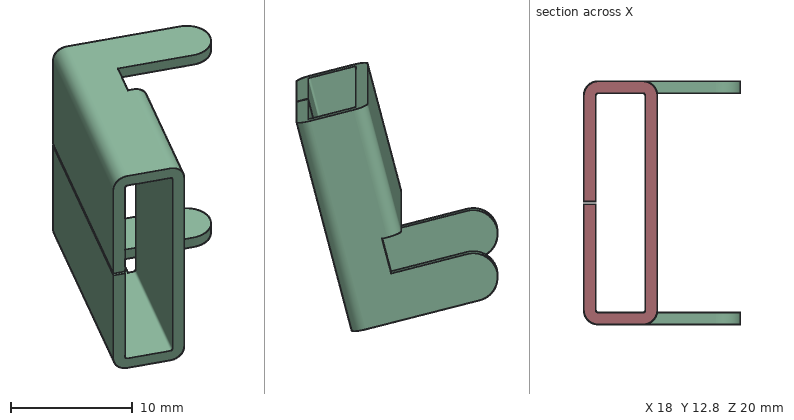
import cadquery as cq

thickness = 1.0
inner_bend_radius = 0.2
outer_bend_radius = inner_bend_radius + thickness

length = 18.0
total_depth = 12.85
height = 19.98

body_depth = 6.05
seam_gap = 0.2

arm_width = 4.0
arm_tip_radius = arm_width / 2

rear_wall_start = 7.0
relief_depth = 4.4


def make_folded_tube():
    """Rectangular sheet tube with bent corners, running along X."""
    outer = (
        cq.Workplane("YZ")
        .center(body_depth / 2, 0)
        .rect(body_depth, height)
        .extrude(length)
        .edges("|X")
        .fillet(outer_bend_radius)
    )
    inner = (
        cq.Workplane("YZ")
        .center(body_depth / 2, 0)
        .rect(body_depth - 2 * thickness, height - 2 * thickness)
        .extrude(length)
        .edges("|X")
        .fillet(inner_bend_radius)
    )
    return outer.cut(inner)


def make_seam():
    """Slit along the middle of the front wall, where the sheet ends meet."""
    return cq.Workplane("XY").box(length, thickness, seam_gap, centered=(False, False, True))


def make_relief():
    """Cutter that removes the rear wall and its bends beside the arms."""
    return (
        cq.Workplane("XY")
        .box(rear_wall_start, body_depth - relief_depth, height, centered=(False, False, True))
        .translate((0, relief_depth, 0))
    )


def make_arm(bottom_z):
    """Flat arm with a round tip, starting behind the front bend."""
    tip_center_y = total_depth - arm_tip_radius
    return (
        cq.Workplane("XY", origin=(0, 0, bottom_z))
        .moveTo(0, outer_bend_radius)
        .lineTo(arm_width, outer_bend_radius)
        .lineTo(arm_width, tip_center_y)
        .threePointArc((arm_width / 2, total_depth), (0, tip_center_y))
        .close()
        .extrude(thickness)
    )


result = make_folded_tube().cut(make_seam()).cut(make_relief())
for arm_bottom_z in (-height / 2, height / 2 - thickness):
    result = result.union(make_arm(arm_bottom_z))